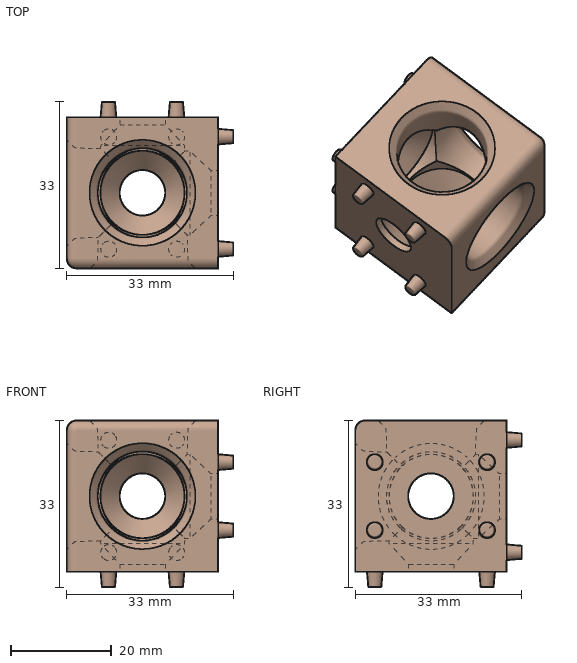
import cadquery as cq
import math

OVERALL = 33.0
PEG_LENGTH = 3.0
CUBE = OVERALL - PEG_LENGTH
HALF = CUBE / 2
EDGE_RADIUS = 1.98

MOUTH_R = 10.5
LIP_R = 9.25
BORE_R = 8.95
SEAT_R = 8.3
EXIT_R = 4.5

CHAMFER_ANGLE = math.radians(45)
LIP_FILLET = (LIP_R - BORE_R) / (1 - math.cos(CHAMFER_ANGLE))

EXIT_LENGTH = 1.5
LIP_LEVEL = HALF - (MOUTH_R - LIP_R)
BORE_LEVEL = LIP_LEVEL - LIP_FILLET * math.sin(CHAMFER_ANGLE)
SEAT_LEVEL = -9.37
EXIT_LEVEL = EXIT_LENGTH - HALF

PEG_BASE_R = 1.6
PEG_TIP_R = 1.32
PEG_TIP_FILLET = 0.2
PEG_OFFSET_X = 6.73
PEG_OFFSET_Y = 11.12

ORIGIN = (0, 0, 0)
X_AXIS = (1, 0, 0)
Y_AXIS = (0, 1, 0)


def make_cube():
    """Cube with the three edges that meet at its -X, -Y, +Z corner rounded."""
    cube = cq.Workplane("XY").box(CUBE, CUBE, CUBE)
    return cube.edges("(<X and <Y) or (<X and >Z) or (<Y and >Z)").fillet(EDGE_RADIUS)


def make_cavity():
    """Through cavity along Z: chamfered mouth, rounded lip, tapered bore, conical seat and exit hole."""
    mid_angle = CHAMFER_ANGLE / 2
    mid_lip_r = BORE_R + LIP_FILLET * (1 - math.cos(mid_angle))
    mid_lip_level = BORE_LEVEL + LIP_FILLET * math.sin(mid_angle)
    profile = (
        cq.Workplane("XZ")
        .moveTo(0, HALF)
        .lineTo(MOUTH_R, HALF)
        .lineTo(LIP_R, LIP_LEVEL)
        .threePointArc((mid_lip_r, mid_lip_level), (BORE_R, BORE_LEVEL))
        .lineTo(SEAT_R, SEAT_LEVEL)
        .lineTo(EXIT_R, EXIT_LEVEL)
        .lineTo(EXIT_R, -HALF)
        .lineTo(0, -HALF)
        .close()
    )
    return profile.revolve(360, (0, 0, 0), (0, 1, 0))


def make_peg():
    """Tapered peg with a rounded tip, hanging from the middle of the bottom face."""
    tip_level = -HALF - PEG_LENGTH
    profile = (
        cq.Workplane("XZ")
        .moveTo(0, -HALF)
        .lineTo(PEG_BASE_R, -HALF)
        .lineTo(PEG_TIP_R, tip_level)
        .lineTo(0, tip_level)
        .close()
    )
    peg = profile.revolve(360, (0, 0, 0), (0, 1, 0))
    return peg.faces("<Z").edges().fillet(PEG_TIP_FILLET)


def turn_to_x(shape):
    """Turn a shape so that its top points to -X and its bottom to +X."""
    return shape.rotate(ORIGIN, Y_AXIS, -90)


def turn_to_y(shape):
    """Turn a shape so that its top points to -Y and its bottom to +Y."""
    return shape.rotate(ORIGIN, X_AXIS, 90)


cavity = make_cavity()
result = make_cube().cut(cavity).cut(turn_to_x(cavity)).cut(turn_to_y(cavity))

centered_peg = make_peg()
for x in (-PEG_OFFSET_X, PEG_OFFSET_X):
    for y in (-PEG_OFFSET_Y, PEG_OFFSET_Y):
        peg = centered_peg.translate((x, y, 0))
        result = result.union(peg).union(turn_to_x(peg)).union(turn_to_y(peg))